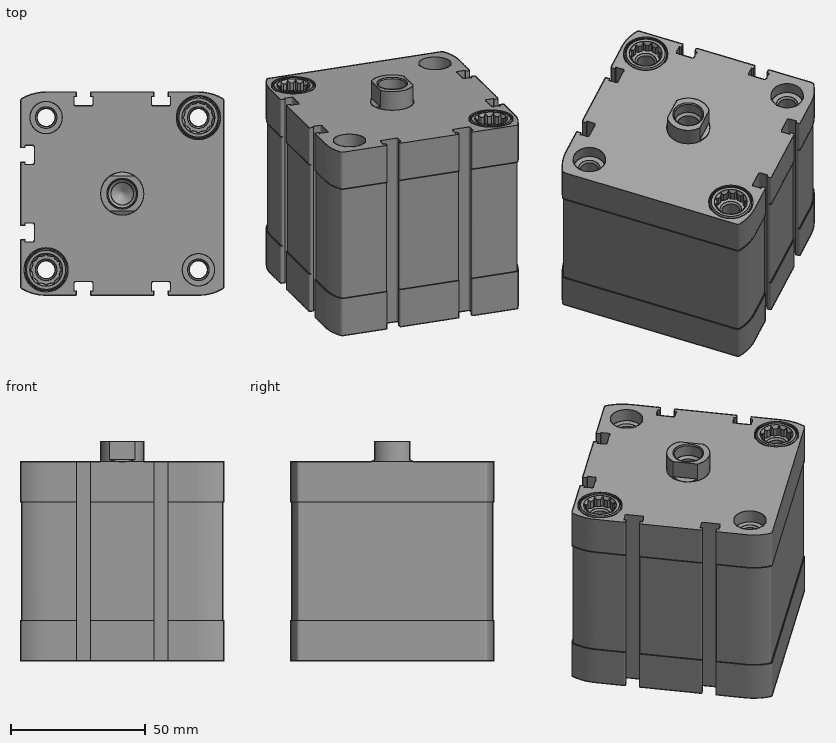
import cadquery as cq
import math


body_width = 75.5
body_height = 74.0
cap_height = 15.0
tube_inset = 0.4

crown_radius = 18.0
crown_center_x = 28.25
corner_fillet = 1.2

slot_offset = 14.4
slot_opening = 5.3
slot_width = 7.0
slot_depth = 5.1
slot_lip = 1.7
slot_fillet = 0.6
slot_edge_fillet = 0.35

bore_offset = 28.25
through_diameter = 6.65
countersink_diameter = 8.0
counterbore_diameter = 12.0
counterbore_depth = 5.0

groove_outer = 16.4
groove_floor = 15.5
collar_top = 14.5
groove_depth = 0.7
socket_depth = 4.4
socket_points_diameter = 11.8
socket_tooth_diameter = 10.5
socket_mouth_diameter = 12.2
socket_lead_depth = 1.3
square_count = 3

rod_diameter = 16.0
rod_projection = 7.5
rod_across_flats = 13.0
flat_clearance = 0.75
ledge_angle = 30.0
rod_mouth_diameter = 11.4
rod_counterbore = 10.5
rod_mouth_chamfer = 0.4
rod_counterbore_depth = 4.8
rod_hole_diameter = 8.38
rod_hole_seat_depth = 0.9
rod_hole_depth = 16.0
drill_point_angle = 118.0

tube_height = body_height - 2 * cap_height
rod_top = body_height + rod_projection
rod_bottom = body_height - cap_height
rod_length = rod_top - rod_bottom


def prism(inset, bottom, height):
    """Housing outline, set back by inset on every side and extruded upwards."""
    half = body_width / 2 - inset
    crown = crown_radius - inset
    center_y = half - crown

    def crown_y(x):
        return center_y + math.sqrt(crown**2 - (x - crown_center_x) ** 2)

    edge_y = crown_y(half)
    mid_x = (crown_center_x + half) / 2
    mid_y = crown_y(mid_x)
    outline = (
        cq.Workplane("XY", origin=(0, 0, bottom))
        .moveTo(-crown_center_x, half)
        .lineTo(crown_center_x, half)
        .threePointArc((mid_x, mid_y), (half, edge_y))
        .lineTo(half, -edge_y)
        .threePointArc((mid_x, -mid_y), (crown_center_x, -half))
        .lineTo(-crown_center_x, -half)
        .threePointArc((-mid_x, -mid_y), (-half, -edge_y))
        .lineTo(-half, edge_y)
        .threePointArc((-mid_x, mid_y), (-crown_center_x, half))
        .close()
    )
    side_edges = [cq.selectors.StringSyntaxSelector(side) for side in ("|Z and >X", "|Z and <X")]
    corners = cq.selectors.SumSelector(*side_edges)
    return outline.extrude(height).edges(corners).fillet(corner_fillet - inset)


def t_slot(inset, bottom, height):
    """T-slot on the +Y side, with a rounded mouth at a wall set back by inset."""
    side = body_width / 2
    wall = side - inset
    channel_top = side - slot_lip
    half_opening = slot_opening / 2
    half_mouth = half_opening + slot_edge_fillet
    shoulder = wall - slot_edge_fillet
    bend = slot_edge_fillet * (1 - math.sqrt(0.5))
    opening = (
        cq.Workplane("XY", origin=(0, 0, bottom))
        .moveTo(-half_opening, channel_top)
        .lineTo(-half_opening, shoulder)
        .threePointArc((-half_opening - bend, wall - bend), (-half_mouth, wall))
        .lineTo(half_mouth, wall)
        .threePointArc((half_opening + bend, wall - bend), (half_opening, shoulder))
        .lineTo(half_opening, channel_top)
        .close()
        .extrude(height)
    )
    channel_depth = slot_depth - slot_lip
    channel = (
        cq.Workplane("XY", origin=(0, 0, bottom))
        .center(0, channel_top - channel_depth / 2)
        .rect(slot_width, channel_depth)
        .extrude(height)
        .edges("|Z and <Y")
        .fillet(slot_fillet)
    )
    return opening.union(channel)


def slotted_block(inset, bottom, height):
    """Length of housing with two slots on the +Y, -X and -Y sides; the +X side is plain."""
    block = prism(inset, bottom, height)
    slot = t_slot(inset, bottom, height)
    for side_angle in (0, 90, 180):
        for offset in (-slot_offset, slot_offset):
            block = block.cut(slot.translate((offset, 0, 0)).rotate((0, 0, 0), (0, 0, 1), side_angle))
    return block


def turned(profile):
    """Solid of revolution about Z from (radius, height) points."""
    return cq.Workplane("XZ").polyline(profile).close().revolve(360, (0, 0), (0, 1))


def through_bore(floor):
    """Through hole countersunk at the given floor height."""
    through = through_diameter / 2
    countersink = countersink_diameter / 2
    return turned([
        (0, 0),
        (through, 0),
        (through, floor - (countersink - through)),
        (countersink, floor),
        (0, floor),
    ])


def plain_counterbore():
    floor = body_height - counterbore_depth
    base = cq.Workplane("XY", origin=(0, 0, floor))
    return base.circle(counterbore_diameter / 2).extrude(counterbore_depth)


def collar_groove():
    """Ring groove that leaves a chamfered collar flush with the top face."""
    return turned([
        (collar_top / 2, body_height),
        (groove_floor / 2, body_height - groove_depth),
        (groove_outer / 2, body_height - groove_depth),
        (groove_outer / 2, body_height),
    ])


def spline_socket():
    """Twelve-point socket with flattened teeth and a conical lead-in."""
    floor = body_height - socket_depth
    base = cq.Workplane("XY", origin=(0, 0, floor))
    socket = base.circle(socket_tooth_diameter / 2).extrude(socket_depth)
    for index in range(square_count):
        square = base.polygon(4, socket_points_diameter).extrude(socket_depth)
        socket = socket.union(square.rotate((0, 0, 0), (0, 0, 1), index * 90 / square_count))
    lead_in = turned([
        (0, body_height - socket_lead_depth),
        (socket_tooth_diameter / 2, body_height - socket_lead_depth),
        (socket_mouth_diameter / 2, body_height),
        (0, body_height),
    ])
    return socket.union(lead_in)


def make_housing():
    housing = (
        slotted_block(0, 0, cap_height)
        .union(slotted_block(tube_inset, cap_height, tube_height))
        .union(slotted_block(0, body_height - cap_height, cap_height))
    )
    for x_sign in (-1, 1):
        for y_sign in (-1, 1):
            if x_sign == y_sign:
                cutters = [collar_groove(), spline_socket(), through_bore(body_height - socket_depth)]
            else:
                cutters = [plain_counterbore(), through_bore(body_height - counterbore_depth)]
            for cutter in cutters:
                housing = housing.cut(cutter.translate((x_sign * bore_offset, y_sign * bore_offset, 0)))
    rod_seat = cq.Workplane("XY", origin=(0, 0, rod_bottom)).circle(rod_diameter / 2).extrude(cap_height)
    return housing.cut(rod_seat)


def wrench_flat():
    """Cutter for the flat on the +Y side, with a sloping ledge at its foot."""
    flat_y = rod_across_flats / 2
    outer_y = rod_diameter / 2
    flat_foot = body_height + flat_clearance
    ledge_foot = flat_foot - (outer_y - flat_y) * math.tan(math.radians(ledge_angle))
    return (
        cq.Workplane("YZ")
        .polyline([(flat_y, flat_foot), (outer_y, ledge_foot), (outer_y, rod_top), (flat_y, rod_top)])
        .close()
        .extrude(rod_diameter / 2, both=True)
    )


def rod_hole():
    """Blind stepped hole in the rod end, finished by a drill point."""
    hole = rod_hole_diameter / 2
    counterbore = rod_counterbore / 2
    point_height = hole / math.tan(math.radians(drill_point_angle / 2))
    seat_top = rod_top - rod_counterbore_depth
    return turned([
        (0, rod_top),
        (rod_mouth_diameter / 2, rod_top),
        (counterbore, rod_top - rod_mouth_chamfer),
        (counterbore, seat_top),
        (hole, seat_top - rod_hole_seat_depth),
        (hole, rod_top - rod_hole_depth),
        (0, rod_top - rod_hole_depth - point_height),
    ])


def make_rod():
    rod = cq.Workplane("XY", origin=(0, 0, rod_bottom)).circle(rod_diameter / 2).extrude(rod_length)
    for turn in (0, 180):
        rod = rod.cut(wrench_flat().rotate((0, 0, 0), (0, 0, 1), turn))
    return rod.cut(rod_hole())


housing = make_housing()
rod = make_rod()
result = cq.Compound.makeCompound([housing.val(), rod.val()])